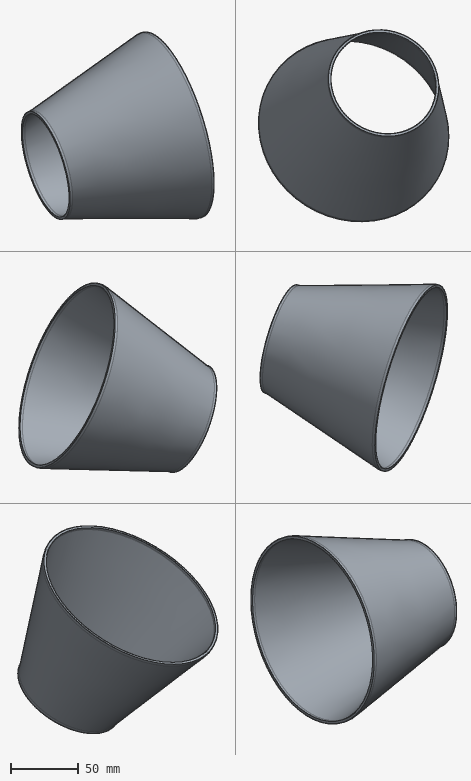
import cadquery as cq

large_diameter = 144.2
small_diameter = 83.9
wall = 2.0
length = 104.0
collar_length = 2.0

large_radius = large_diameter / 2
small_radius = small_diameter / 2
cone_start = collar_length
cone_end = length - collar_length

wall_section = (
    cq.Workplane("XY")
    .moveTo(small_radius, 0)
    .lineTo(small_radius, cone_start)
    .lineTo(large_radius, cone_end)
    .lineTo(large_radius, length)
    .lineTo(large_radius - wall, length)
    .lineTo(large_radius - wall, cone_end)
    .lineTo(small_radius - wall, cone_start)
    .lineTo(small_radius - wall, 0)
    .close()
)

result = wall_section.revolve(360, (0, 0, 0), (0, 1, 0))